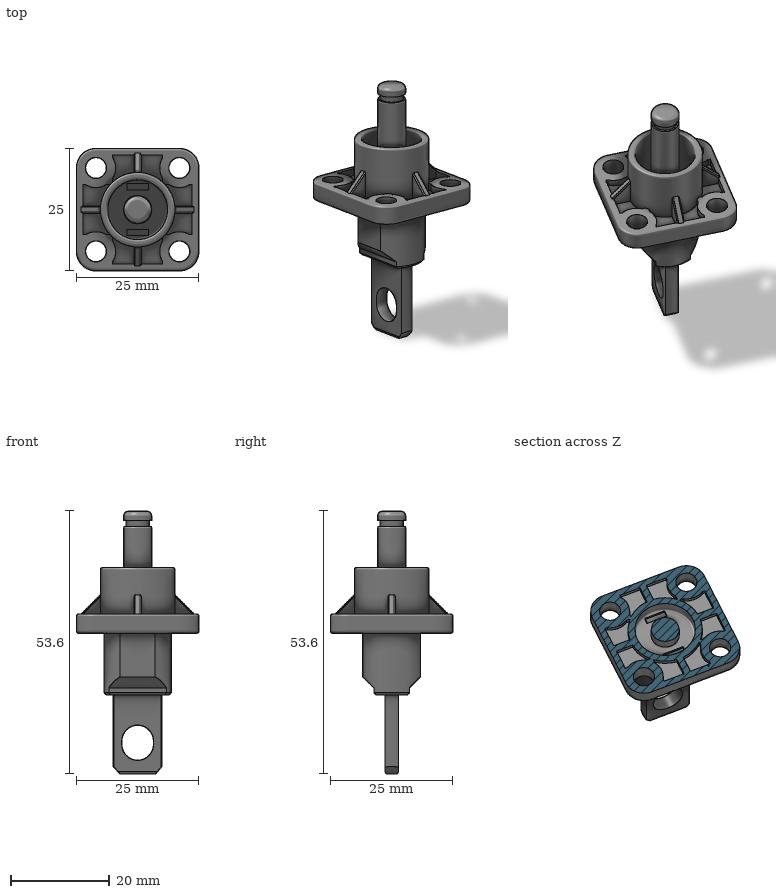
import cadquery as cq


flange_side = 25.0
flange_thickness = 3.95
flange_corner_radius = 4.0
flange_edge_round = 0.5
hole_offset = 8.5
hole_diameter = 4.2

pocket_half_width = 5.1
pocket_outer_reach = 11.1
pocket_depth = 1.5
hole_boss_radius = 4.0

collar_radius = 7.6
collar_top = 13.45
collar_rim_round = 0.5
cup_radius = 6.1
cup_floor = 1.0
cup_floor_round = 0.3

recess_width = 4.4
recess_inner_edge = 4.0
recess_outer_edge = 5.3
recess_depth = 0.5

rib_thickness = 1.5
rib_reach = 11.5
rib_edge_chamfer = 0.25

pin_radius = 2.875
pin_top = 24.9
pin_tip_round = 1.0
groove_radius = 2.4
groove_bottom = 21.8
groove_top = 23.05
groove_edge_chamfer_height = 0.35
groove_edge_chamfer_width = 0.1

body_radius = 6.9
body_bottom = -12.6
body_chamfer = 0.5
upper_flat_offset = 5.9
lower_flat_offset = 3.65
shoulder_bottom = -11.1

blade_radius = 5.0
blade_thickness = 2.8
blade_bottom = -28.7
blade_corner_width = 1.4
blade_corner_height = 1.6
blade_end_chamfer_height = 0.5
blade_end_chamfer_depth = 0.3
slot_width = 6.4
slot_height = 7.1
slot_center_z = -22.3

QUARTER_TURNS = (0, 90, 180, 270)
Z_AXIS = (cq.Vector(0, 0, 0), cq.Vector(0, 0, 1))
HOLE_CENTERS = [(x, y) for x in (-hole_offset, hole_offset) for y in (-hole_offset, hole_offset)]


def turned(shape, angle):
    """Rotate a shape about the part's vertical axis."""
    return shape.rotate(*Z_AXIS, angle)


def cylinder(radius, bottom, top):
    """Upright cylinder centred on the part's axis."""
    return cq.Workplane("XY").workplane(offset=bottom).circle(radius).extrude(top - bottom)


def make_flange():
    """Rounded square plate with a pocket on each side, cut around the hole bosses."""
    flange = (
        cq.Workplane("XY")
        .rect(flange_side, flange_side)
        .extrude(flange_thickness)
        .edges("|Z")
        .fillet(flange_corner_radius)
        .faces("<Z or >Z")
        .edges()
        .fillet(flange_edge_round)
    )
    pocket_floor = flange_thickness - pocket_depth
    bosses = (
        cq.Workplane("XY")
        .workplane(offset=pocket_floor)
        .pushPoints(HOLE_CENTERS)
        .circle(hole_boss_radius)
        .extrude(pocket_depth)
    )
    pocket = (
        cq.Workplane("XY")
        .box(pocket_outer_reach, 2 * pocket_half_width, pocket_depth, centered=(False, True, False))
        .translate((0, 0, pocket_floor))
        .cut(bosses)
    )
    for angle in QUARTER_TURNS:
        flange = flange.cut(turned(pocket, angle))
    return flange


def make_collar():
    """Solid round collar with a rounded outer rim."""
    return cylinder(collar_radius, 0, collar_top).faces(">Z").edges().fillet(collar_rim_round)


def make_rib():
    """Rib on the +X side with a 45 degree top; its foot is sunk into the flange."""
    foot = flange_thickness - pocket_depth
    peak = flange_thickness + rib_reach
    rib = (
        cq.Workplane("XZ")
        .moveTo(0, foot)
        .lineTo(rib_reach, foot)
        .lineTo(rib_reach, flange_thickness)
        .lineTo(0, peak)
        .close()
        .extrude(rib_thickness / 2, both=True)
    )
    slope_middle = (rib_reach / 2, 0, (flange_thickness + peak) / 2)
    slope = rib.faces(cq.selectors.NearestToPointSelector(slope_middle))
    return slope.edges("not |Y").chamfer(rib_edge_chamfer)


def make_cup():
    """Void inside the collar, flared at the rim and rounded at the floor."""
    bore = cylinder(cup_radius, cup_floor, collar_top).faces("<Z").edges().fillet(cup_floor_round)
    rim_bottom = collar_top - collar_rim_round
    mouth_radius = cup_radius + collar_rim_round
    flare = (
        cq.Workplane("XZ")
        .moveTo(0, rim_bottom)
        .lineTo(cup_radius, rim_bottom)
        .radiusArc((mouth_radius, collar_top), collar_rim_round)
        .lineTo(0, collar_top)
        .close()
        .revolve(axisStart=(0, 0, 0), axisEnd=(0, 1, 0))
    )
    return bore.union(flare)


def make_floor_recesses():
    """Two shallow recesses, one on each side of the pin along Y."""
    middle = (recess_inner_edge + recess_outer_edge) / 2
    return (
        cq.Workplane("XY")
        .workplane(offset=cup_floor)
        .pushPoints([(0, -middle), (0, middle)])
        .rect(recess_width, recess_outer_edge - recess_inner_edge)
        .extrude(-recess_depth)
    )


def make_pin():
    """Contact pin with a domed tip above a retaining groove."""
    pin = cylinder(pin_radius, 0, groove_bottom)
    pin = pin.faces(">Z").chamfer(groove_edge_chamfer_height, groove_edge_chamfer_width)
    neck = cylinder(groove_radius, 0, groove_top)
    tip = cylinder(pin_radius, groove_top, pin_top).faces(">Z").edges().fillet(pin_tip_round)
    return pin.union(neck).union(tip)


def make_body():
    """Round body trimmed to a two-step profile with 45 degree shoulders."""
    shoulder_top = shoulder_bottom + upper_flat_offset - lower_flat_offset
    chamfer_top = body_bottom + body_chamfer
    foot_offset = lower_flat_offset - body_chamfer
    half_profile = [
        (upper_flat_offset, 0),
        (upper_flat_offset, shoulder_top),
        (lower_flat_offset, shoulder_bottom),
        (lower_flat_offset, chamfer_top),
        (foot_offset, body_bottom),
    ]
    mirrored = [(-y, z) for y, z in reversed(half_profile)]
    envelope = cq.Workplane("YZ").polyline(half_profile + mirrored).close().extrude(body_radius, both=True)
    barrel = cylinder(body_radius, body_bottom, 0).faces("<Z").chamfer(body_chamfer)
    return barrel.intersect(envelope)


def make_tapered_slab(plane, half_width, end_half_width, taper_top, half_depth):
    """Slab spanning the blade's length, narrowing to end_half_width below taper_top."""
    right_side = [
        (half_width, body_bottom),
        (half_width, taper_top),
        (end_half_width, blade_bottom),
    ]
    left_side = [(-across, z) for across, z in reversed(right_side)]
    return cq.Workplane(plane).polyline(right_side + left_side).close().extrude(half_depth, both=True)


def make_blade():
    """Flat blade with round edges, clipped corners, a bevelled end and a terminal slot."""
    half_thickness = blade_thickness / 2
    rod = cylinder(blade_radius, blade_bottom, body_bottom)
    clipped_outline = make_tapered_slab(
        "XZ",
        blade_radius,
        blade_radius - blade_corner_width,
        blade_bottom + blade_corner_height,
        half_thickness,
    )
    bevelled_profile = make_tapered_slab(
        "YZ",
        half_thickness,
        half_thickness - blade_end_chamfer_depth,
        blade_bottom + blade_end_chamfer_height,
        blade_radius,
    )
    slot = (
        cq.Workplane("XZ")
        .center(0, slot_center_z)
        .slot2D(slot_height, slot_width, angle=90)
        .extrude(half_thickness, both=True)
    )
    return rod.intersect(clipped_outline).intersect(bevelled_profile).cut(slot)


def make_mounting_holes():
    """Four through holes at the flange corners."""
    return (
        cq.Workplane("XY")
        .pushPoints(HOLE_CENTERS)
        .circle(hole_diameter / 2)
        .extrude(flange_thickness)
    )


housing = make_flange().union(make_collar())
rib = make_rib()
for rib_angle in QUARTER_TURNS:
    housing = housing.union(turned(rib, rib_angle))
housing = housing.union(make_body())
housing = housing.cut(make_cup()).cut(make_floor_recesses()).cut(make_mounting_holes())

result = housing.union(make_pin()).union(make_blade())